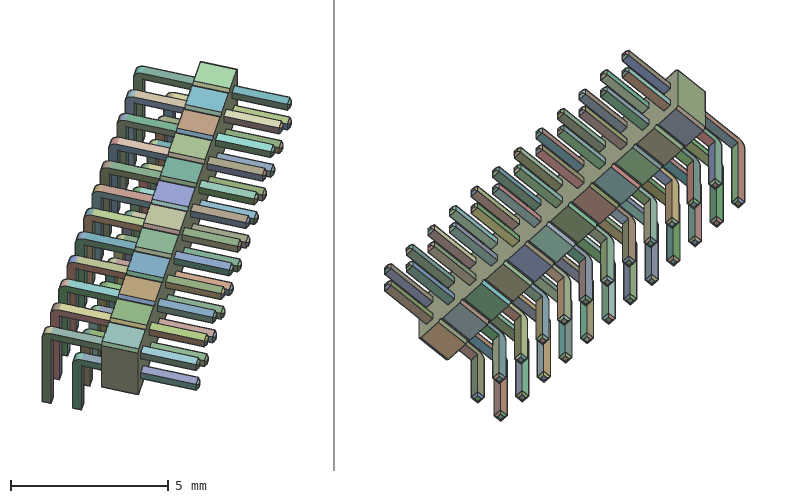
import cadquery as cq

overall_width = 5.15
overall_length = 12.0
overall_height = 4.12

pins_per_row = 12
pitch = overall_length / pins_per_row

housing_depth = 1.2
housing_height = 2.3
housing_chamfer = 0.1

pin_size = 0.3
tip_chamfer = pin_size / 4
mating_length = 1.9

mating_end_x = housing_depth / 2 + mating_length
outer_leg_x = mating_end_x - overall_width
leg_end_z = housing_height / 2 - overall_height

pin_y_positions = [(i - (pins_per_row - 1) / 2) * pitch for i in range(pins_per_row)]


def make_housing():
    """One block per pin pair; the chamfers of neighbours form V-grooves."""
    housing = cq.Workplane("XY")
    for y in pin_y_positions:
        block = (
            cq.Workplane("XY")
            .box(housing_depth, pitch, housing_height)
            .edges("|X")
            .chamfer(housing_chamfer)
            .translate((0, y, 0))
        )
        housing = housing.union(block)
    return housing


def make_pin(leg_x, center_z):
    """Square bent pin centred on Y = 0, rounded outside the bend, sharp inside."""
    top_z = center_z + pin_size / 2
    inner_x = leg_x + pin_size
    inner_z = top_z - pin_size
    return (
        cq.Workplane("XZ")
        .moveTo(leg_x, leg_end_z)
        .lineTo(leg_x, inner_z)
        .radiusArc((inner_x, top_z), pin_size)
        .lineTo(mating_end_x, top_z)
        .lineTo(mating_end_x, inner_z)
        .lineTo(inner_x, inner_z)
        .lineTo(inner_x, leg_end_z)
        .close()
        .extrude(pin_size / 2, both=True)
        .faces(">X or <Z")
        .chamfer(tip_chamfer)
    )


upper_pin = make_pin(outer_leg_x, pitch / 2)
lower_pin = make_pin(outer_leg_x + pitch, -pitch / 2)

result = make_housing()
for y in pin_y_positions:
    for pin in (upper_pin, lower_pin):
        result = result.union(pin.translate((0, y, 0)))